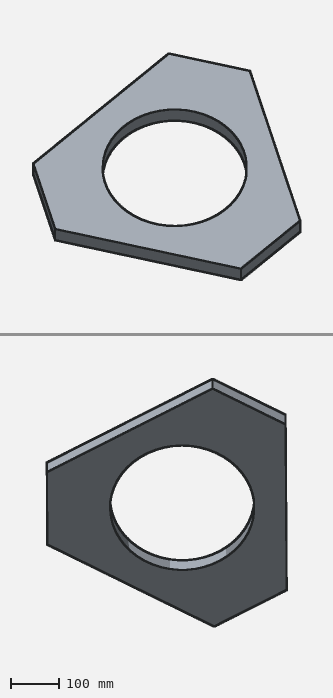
import cadquery as cq
import math

long_side = 400.0
short_side = 175.0
thickness = 40.0
bore_diameter = 300.0

side_count = 3
triangle_side = long_side + 2 * short_side
center_to_long_side = triangle_side / (2 * math.sqrt(3))
first_side_angle = 90.0


def long_side_ends(angle_degrees):
    """Ends of the long side facing the given direction, counterclockwise."""
    angle = math.radians(angle_degrees)
    middle_x = center_to_long_side * math.cos(angle)
    middle_y = center_to_long_side * math.sin(angle)
    half_x = -long_side / 2 * math.sin(angle)
    half_y = long_side / 2 * math.cos(angle)
    return [
        (middle_x - half_x, middle_y - half_y),
        (middle_x + half_x, middle_y + half_y),
    ]


def make_plate():
    """Six-sided plate; short sides join the ends of the long sides."""
    outline = []
    for side in range(side_count):
        outline += long_side_ends(first_side_angle + side * 360.0 / side_count)
    return cq.Workplane("XY").polyline(outline).close().extrude(thickness)


def make_bore():
    """Round through opening, centered on the plate."""
    return cq.Workplane("XY").circle(bore_diameter / 2).extrude(thickness)


result = make_plate().cut(make_bore())